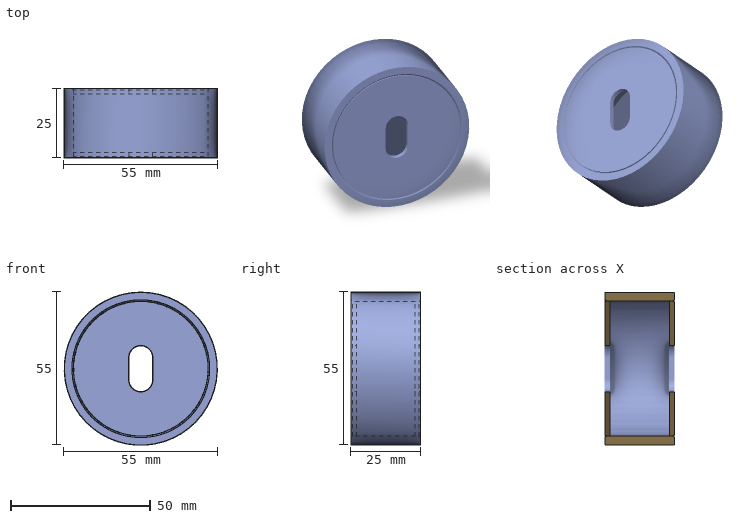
import cadquery as cq

outer_radius = 27.5
ring_length = 25.0
bore_radius = 24.2
bore_chamfer = 0.55

plate_thickness = 2.0
slot_width = 8.5
slot_height = 16.5


def make_ring():
    """Tube whose bore is chamfered at both mouths."""
    end_y = ring_length / 2
    mouth_radius = bore_radius + bore_chamfer
    chamfer_start_y = end_y - bore_chamfer
    half_section = [
        (-end_y, outer_radius),
        (end_y, outer_radius),
        (end_y, mouth_radius),
        (chamfer_start_y, bore_radius),
        (-chamfer_start_y, bore_radius),
        (-end_y, mouth_radius),
    ]
    return cq.Workplane("YZ").polyline(half_section).close().revolve(360, (0, 0), (1, 0))


def make_end_plate(front_y):
    """Round plate with a central upright slot, reaching from front_y toward +Y."""
    return (
        cq.Workplane("XZ", origin=(0, front_y, 0))
        .circle(bore_radius)
        .slot2D(slot_height, slot_width, 90)
        .extrude(-plate_thickness)
    )


ring = make_ring()

plate_front_positions = [-ring_length / 2, ring_length / 2 - plate_thickness]
end_plates = [make_end_plate(front_y) for front_y in plate_front_positions]

result = cq.Compound.makeCompound([ring.val(), *[plate.val() for plate in end_plates]])